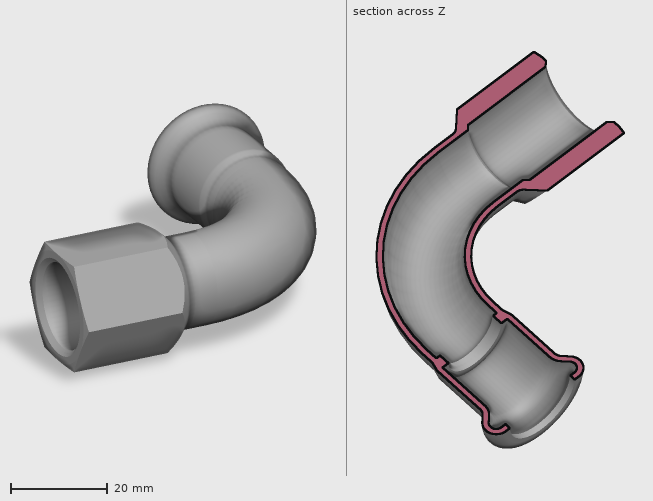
import cadquery as cq
import math


overall_length = 72.25

tube_radius = 19.8 / 2
wall = 1.45
bore_radius = tube_radius - wall
bend_radius = 26.9
bend_start = 26.1
nut_axis_x = bend_start + bend_radius

bead_radius = 26.5 / 2
bead_round = 2.95
socket_radius = 21.0 / 2
blend_radius = 2.0
socket_end = 20.7
neck_end = 23.4
neck_round_length = 0.6
stop_radius = 14.8 / 2

nut_flats = 24.1
nut_corners = nut_flats / math.cos(math.pi / 6)
nut_face = overall_length - bead_radius
collar_start = 32.15
shoulder_angle = math.radians(45)
end_chamfer_angle = math.radians(10)
thread_radius = 9.4
thread_chamfer = 1.1
thread_end = 36.1


FLANK_COS = math.sqrt(0.5)
HALF_FLANK_ANGLE = math.pi / 8


def arc_point(center, radius, angle):
    """Point on a circle, with the angle measured from the first coordinate."""
    return (center[0] + radius * math.cos(angle), center[1] + radius * math.sin(angle))


def revolve_x(profile):
    return profile.close().revolve(360, (0, 0, 0), (1, 0, 0))


def revolve_nut(profile):
    """Revolve a (radius, y) profile, sketched beside the nut axis, about that axis."""
    return profile.close().revolve(360, (0, 0, 0), (0, 1, 0))


def bead_profile(inset):
    """Bead, 45 degree flank and blend into the socket, all moved inwards by inset."""
    center = (bead_round, bead_radius - bead_round)
    radius = bead_round - inset
    flank_start = arc_point(center, radius, math.pi / 4)
    blend = blend_radius + inset
    barrel_radius = socket_radius - inset
    flank_foot = barrel_radius + blend * (1 - FLANK_COS)
    flank_end = (flank_start[0] + flank_start[1] - flank_foot, flank_foot)
    blend_center = (flank_end[0] + blend * FLANK_COS, barrel_radius + blend)
    return (
        cq.Workplane("XY")
        .moveTo(inset, 0)
        .lineTo(inset, center[1])
        .threePointArc(arc_point(center, radius, 5 * math.pi / 8), flank_start)
        .lineTo(*flank_end)
        .threePointArc(
            arc_point(blend_center, blend, -math.pi / 2 - HALF_FLANK_ANGLE),
            (blend_center[0], barrel_radius),
        )
    )


def make_socket():
    """Bead and barrel, narrowing through a smooth S-shaped neck to the tube."""
    drop = socket_radius - tube_radius
    neck_angle = math.atan(drop / (neck_end - socket_end - neck_round_length))
    round_radius = neck_round_length / math.sin(neck_angle)
    upper_center = (socket_end, socket_radius - round_radius)
    lower_center = (neck_end, tube_radius + round_radius)
    profile = (
        bead_profile(0)
        .lineTo(socket_end, socket_radius)
        .threePointArc(
            arc_point(upper_center, round_radius, math.pi / 2 - neck_angle / 2),
            arc_point(upper_center, round_radius, math.pi / 2 - neck_angle),
        )
        .lineTo(*arc_point(lower_center, round_radius, -math.pi / 2 - neck_angle))
        .threePointArc(
            arc_point(lower_center, round_radius, -math.pi / 2 - neck_angle / 2),
            (neck_end, tube_radius),
        )
        .lineTo(bend_start, tube_radius)
        .lineTo(bend_start, 0)
    )
    return revolve_x(profile)


def make_socket_bore():
    """Seal groove behind the lip, socket bore, insertion stop and tube bore."""
    insertion = (
        bead_profile(wall)
        .lineTo(socket_end, socket_radius - wall)
        .lineTo(socket_end, stop_radius)
        .lineTo(neck_end, stop_radius)
        .lineTo(neck_end, bore_radius)
        .lineTo(bend_start, bore_radius)
        .lineTo(bend_start, 0)
    )
    mouth = cq.Workplane("YZ").circle(socket_radius - wall).extrude(socket_end)
    return revolve_x(insertion).union(mouth)


def make_bend(radius):
    return (
        cq.Workplane("YZ", origin=(bend_start, 0, 0))
        .circle(radius)
        .revolve(90, (-bend_radius, 0.7, 0), (-bend_radius, 0, 0))
    )


def make_nut():
    """Straight tube end, flared collar and hexagon with both ends turned down."""
    corner_radius = nut_corners / 2
    flare_end = collar_start + blend_radius * math.sin(shoulder_angle)
    flare_radius = tube_radius + blend_radius * (1 - math.cos(shoulder_angle))
    flare_center = (tube_radius + blend_radius, -collar_start)
    shoulder_end = flare_end + (corner_radius - flare_radius) / math.tan(shoulder_angle)
    face_radius = nut_flats / 2
    chamfer_length = (corner_radius - face_radius) * math.tan(end_chamfer_angle)
    turned = revolve_nut(
        cq.Workplane("XY", origin=(nut_axis_x, 0, 0))
        .moveTo(0, -bend_radius)
        .lineTo(tube_radius, -bend_radius)
        .lineTo(tube_radius, -collar_start)
        .threePointArc(
            arc_point(flare_center, blend_radius, math.pi + shoulder_angle / 2),
            (flare_radius, -flare_end),
        )
        .lineTo(corner_radius, -shoulder_end)
        .lineTo(corner_radius, chamfer_length - nut_face)
        .lineTo(face_radius, -nut_face)
        .lineTo(0, -nut_face)
    )
    hexagon = (
        cq.Workplane("XZ", origin=(nut_axis_x, -bend_radius, 0))
        .polygon(6, nut_corners)
        .extrude(nut_face - bend_radius)
    )
    return turned.intersect(hexagon)


def make_nut_bore():
    """Tube bore opening through a 45 degree cone into the chamfered nut bore."""
    cone_length = thread_radius - bore_radius
    return revolve_nut(
        cq.Workplane("XY", origin=(nut_axis_x, 0, 0))
        .moveTo(0, -bend_radius)
        .lineTo(bore_radius, -bend_radius)
        .lineTo(bore_radius, cone_length - thread_end)
        .lineTo(thread_radius, -thread_end)
        .lineTo(thread_radius, thread_chamfer - nut_face)
        .lineTo(thread_radius + thread_chamfer, -nut_face)
        .lineTo(0, -nut_face)
    )


body = make_socket().union(make_bend(tube_radius)).union(make_nut())
result = body.cut(make_socket_bore()).cut(make_bend(bore_radius)).cut(make_nut_bore())